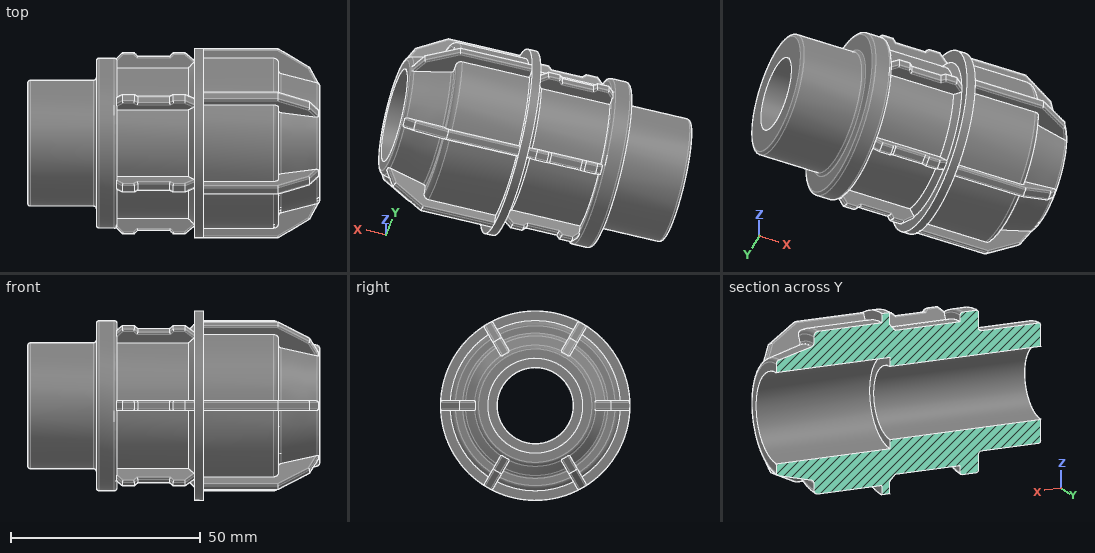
import cadquery as cq

TOTAL_LENGTH = 77.0

SPIGOT_RADIUS = 33.3 / 2
COLLAR_START = 18.1
COLLAR_END = 23.6
COLLAR_RADIUS = 44.9 / 2
EDGE_ROUND = 0.8

BODY_RADIUS = 19.9
BODY_CONE_START = 42.35
BODY_CONE_RADIUS = 21.55

FLANGE_START = 44.0
FLANGE_END = 46.35
FLANGE_RADIUS = 50.0 / 2
NUT_RADIUS = COLLAR_RADIUS
NUT_SHOULDER = 66.15
NUT_ROUND = 1.4
NOSE_BASE_RADIUS = 18.55
NOSE_TIP_RADIUS = 15.8
NOSE_BASE_ROUND = 0.8
NOSE_TIP_ROUND = 1.1

BORE_RADIUS = 20.0 / 2
SOCKET_RADIUS = 25.0 / 2
SOCKET_DEPTH = TOTAL_LENGTH - FLANGE_START

RIB_COUNT = 6
RIB_WIDTH = 2.6
RIB_ROUND = 0.5
RIB_ROOT_RADIUS = 13.85

BODY_RIB_START = 23.4
BODY_RIB_END = FLANGE_START
BODY_RIB_START_RADIUS = 22.3
BODY_RIB_END_RADIUS = 21.8
PAD_RADIUS = 23.9
PAD_LENGTH = 3.15
SADDLE_RADIUS = 22.95
SADDLE_DROP = PAD_RADIUS - SADDLE_RADIUS
FIRST_PAD_START = 24.95
FIRST_PAD_END = FIRST_PAD_START + PAD_LENGTH
SECOND_PAD_START = 38.35
SECOND_PAD_END = SECOND_PAD_START + PAD_LENGTH

NUT_RIB_RADIUS = 24.95
NUT_RIB_BEND = 66.0
NUT_RIB_KNEE = 74.3
NUT_RIB_KNEE_RADIUS = 20.0
NUT_RIB_TIP = 76.7
NUT_RIB_TIP_RADIUS = 15.6

TOLERANCE = 0.01


def turned_shape():
    """Solid of revolution about X, before its edges are rounded."""
    outline = [
        (0, 0),
        (0, SPIGOT_RADIUS),
        (COLLAR_START, SPIGOT_RADIUS),
        (COLLAR_START, COLLAR_RADIUS),
        (COLLAR_END, COLLAR_RADIUS),
        (COLLAR_END, BODY_RADIUS),
        (BODY_CONE_START, BODY_RADIUS),
        (FLANGE_START, BODY_CONE_RADIUS),
        (FLANGE_START, FLANGE_RADIUS),
        (FLANGE_END, FLANGE_RADIUS),
        (FLANGE_END, NUT_RADIUS),
        (NUT_SHOULDER, NUT_RADIUS),
        (NUT_SHOULDER, NOSE_BASE_RADIUS),
        (TOTAL_LENGTH, NOSE_TIP_RADIUS),
        (TOTAL_LENGTH, 0),
    ]
    return cq.Workplane("XY").polyline(outline).close().revolve(360, (0, 0, 0), (1, 0, 0))


def round_edge(shape, position, radius, rounding):
    """Fillet the circular edge found at the given axial position and radius."""

    def matches(edge):
        if edge.geomType() != "CIRCLE":
            return False
        same_place = abs(edge.Center().x - position) < TOLERANCE
        return same_place and abs(edge.radius() - radius) < TOLERANCE

    return shape.edges().filter(matches).fillet(rounding)


def rib(outer_line):
    """Straight rib on the +Y side whose crest follows outer_line, with rounded crest edges."""
    first_x = outer_line[0][0]
    last_x = outer_line[-1][0]
    outline = [(first_x, RIB_ROOT_RADIUS)] + outer_line + [(last_x, RIB_ROOT_RADIUS)]
    blank = cq.Workplane("XY").polyline(outline).close().extrude(RIB_WIDTH / 2, both=True)

    def on_crest(edge):
        lengthwise = edge.BoundingBox().zlen < TOLERANCE
        lowest = min(edge.startPoint().y, edge.endPoint().y)
        return lengthwise and lowest > RIB_ROOT_RADIUS + TOLERANCE

    return blank.edges().filter(on_crest).fillet(RIB_ROUND)


def body_rib():
    return rib([
        (BODY_RIB_START, BODY_RIB_START_RADIUS),
        (FIRST_PAD_START, PAD_RADIUS),
        (FIRST_PAD_END, PAD_RADIUS),
        (FIRST_PAD_END + SADDLE_DROP, SADDLE_RADIUS),
        (SECOND_PAD_START - SADDLE_DROP, SADDLE_RADIUS),
        (SECOND_PAD_START, PAD_RADIUS),
        (SECOND_PAD_END, PAD_RADIUS),
        (BODY_RIB_END, BODY_RIB_END_RADIUS),
    ])


def nut_rib():
    return rib([
        (FLANGE_END, NUT_RIB_RADIUS),
        (NUT_RIB_BEND, NUT_RIB_RADIUS),
        (NUT_RIB_KNEE, NUT_RIB_KNEE_RADIUS),
        (NUT_RIB_TIP, NUT_RIB_TIP_RADIUS),
    ])


def bore_cutter():
    """Through bore opening into a wider pipe socket at the nut end."""
    bore = cq.Workplane("YZ").circle(BORE_RADIUS).extrude(TOTAL_LENGTH)
    socket_floor = TOTAL_LENGTH - SOCKET_DEPTH
    socket = cq.Workplane("YZ", origin=(socket_floor, 0, 0)).circle(SOCKET_RADIUS).extrude(SOCKET_DEPTH)
    return bore.union(socket)


fitting = turned_shape()
for position, radius, rounding in [
    (0, SPIGOT_RADIUS, EDGE_ROUND),
    (COLLAR_START, SPIGOT_RADIUS, EDGE_ROUND),
    (COLLAR_START, COLLAR_RADIUS, EDGE_ROUND),
    (COLLAR_END, COLLAR_RADIUS, EDGE_ROUND),
    (NUT_SHOULDER, NUT_RADIUS, NUT_ROUND),
    (NUT_SHOULDER, NOSE_BASE_RADIUS, NOSE_BASE_ROUND),
    (TOTAL_LENGTH, NOSE_TIP_RADIUS, NOSE_TIP_ROUND),
]:
    fitting = round_edge(fitting, position, radius, rounding)

for rib_shape in (body_rib(), nut_rib()):
    for index in range(RIB_COUNT):
        angle = index * 360 / RIB_COUNT
        fitting = fitting.union(rib_shape.rotate((0, 0, 0), (1, 0, 0), angle))

result = fitting.cut(bore_cutter())